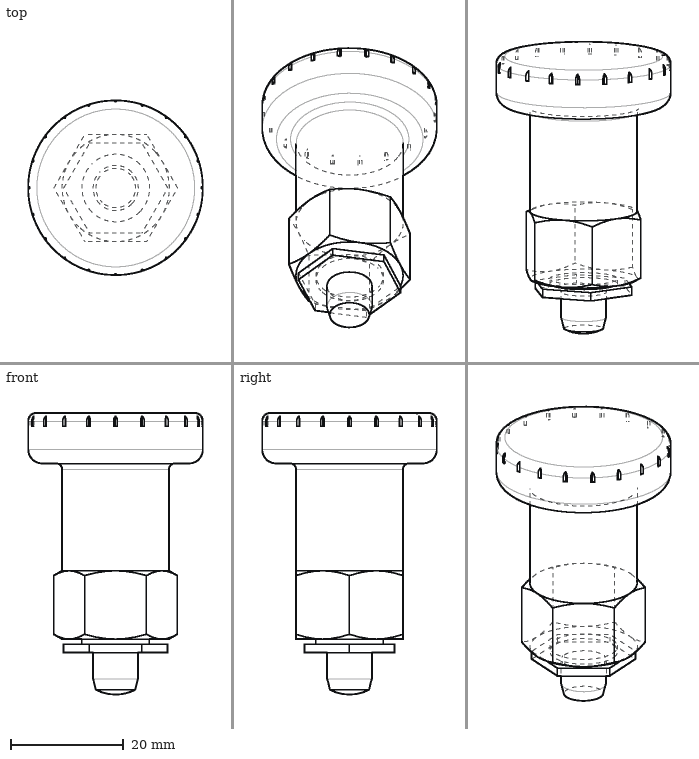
import cadquery as cq
import math


grip_diameter = 31.0
grip_height = 9.0
grip_top_radius = 1.5
grip_bottom_radius = 2.5
neck_diameter = 19.0
neck_length = 19.0
neck_fillet = 1.0

notch_count = 20
notch_length = 2.4
notch_depth = 0.3
notch_half_width = 0.35
notch_overshoot = 1.0

hexagon_across_flats = 19.0
hexagon_height = 12.1
hexagon_chamfer_angle = 30.0
collar_diameter = 12.0
collar_height = 0.9
flange_across_flats = 16.0
flange_thickness = 1.5

pin_diameter = 8.0
pin_length = 7.46
pin_taper_angle = 14.0
pin_taper_length = 2.0
pin_dome_radius = 7.5

neck_bottom = hexagon_height
grip_bottom = neck_bottom + neck_length
grip_top = grip_bottom + grip_height
collar_bottom = -collar_height
flange_bottom = collar_bottom - flange_thickness
pin_bottom = flange_bottom - pin_length


def hexagon_prism(across_flats, bottom, height):
    """Hexagonal prism with two corners on the X axis."""
    across_corners = across_flats / math.cos(math.radians(30))
    return cq.Workplane("XY").workplane(offset=bottom).polygon(6, across_corners).extrude(height)


def revolve_about_z(profile):
    """Turn a closed radius-height profile about the Z axis."""
    return profile.close().revolve(360, (0, 0, 0), (0, 1, 0))


def arc_point(center_radius, center_height, arc_radius, angle):
    """Point on an arc in the radius-height plane, at an angle in degrees."""
    turn = math.radians(angle)
    return (center_radius + arc_radius * math.cos(turn), center_height + arc_radius * math.sin(turn))


def make_notch(angle):
    """Cutter for one V notch that runs down from the top of the grip rim."""
    grip_radius = grip_diameter / 2
    slope = notch_half_width / notch_depth
    outer_radius = grip_radius + notch_overshoot
    outer_half_width = notch_half_width + slope * notch_overshoot
    cutter = (
        cq.Workplane("XY")
        .workplane(offset=grip_top - notch_length)
        .moveTo(grip_radius - notch_depth, 0)
        .lineTo(outer_radius, -outer_half_width)
        .lineTo(outer_radius, outer_half_width)
        .close()
        .extrude(notch_length + notch_overshoot)
    )
    return cutter.rotate((0, 0, 0), (0, 0, 1), angle)


def make_knob():
    grip_radius = grip_diameter / 2
    neck_radius = neck_diameter / 2
    neck_arc_middle = arc_point(
        neck_radius + neck_fillet, grip_bottom - neck_fillet, neck_fillet, 135
    )
    bottom_arc_middle = arc_point(
        grip_radius - grip_bottom_radius, grip_bottom + grip_bottom_radius, grip_bottom_radius, -45
    )
    top_arc_middle = arc_point(
        grip_radius - grip_top_radius, grip_top - grip_top_radius, grip_top_radius, 45
    )
    profile = (
        cq.Workplane("XZ")
        .moveTo(0, neck_bottom)
        .lineTo(neck_radius, neck_bottom)
        .lineTo(neck_radius, grip_bottom - neck_fillet)
        .threePointArc(neck_arc_middle, (neck_radius + neck_fillet, grip_bottom))
        .lineTo(grip_radius - grip_bottom_radius, grip_bottom)
        .threePointArc(bottom_arc_middle, (grip_radius, grip_bottom + grip_bottom_radius))
        .lineTo(grip_radius, grip_top - grip_top_radius)
        .threePointArc(top_arc_middle, (grip_radius - grip_top_radius, grip_top))
        .lineTo(0, grip_top)
    )
    knob = revolve_about_z(profile)
    for index in range(notch_count):
        knob = knob.cut(make_notch(index * 360 / notch_count))
    return knob


def make_body():
    face_radius = hexagon_across_flats / 2
    middle_height = hexagon_height / 2
    cone_radius = face_radius + middle_height / math.tan(math.radians(hexagon_chamfer_angle))
    chamfer_envelope = revolve_about_z(
        cq.Workplane("XZ")
        .moveTo(0, 0)
        .lineTo(face_radius, 0)
        .lineTo(cone_radius, middle_height)
        .lineTo(face_radius, hexagon_height)
        .lineTo(0, hexagon_height)
    )
    large_hexagon = hexagon_prism(hexagon_across_flats, 0, hexagon_height).intersect(chamfer_envelope)
    collar = (
        cq.Workplane("XY")
        .workplane(offset=collar_bottom)
        .circle(collar_diameter / 2)
        .extrude(collar_height)
    )
    flange = hexagon_prism(flange_across_flats, flange_bottom, flange_thickness)
    return large_hexagon.union(collar).union(flange)


def make_pin():
    pin_radius = pin_diameter / 2
    tip_radius = pin_radius - pin_taper_length * math.tan(math.radians(pin_taper_angle))
    dome_center = pin_bottom + pin_dome_radius
    dome_edge = dome_center - math.sqrt(pin_dome_radius**2 - tip_radius**2)
    dome_middle_radius = tip_radius / 2
    dome_middle = dome_center - math.sqrt(pin_dome_radius**2 - dome_middle_radius**2)
    profile = (
        cq.Workplane("XZ")
        .moveTo(0, flange_bottom)
        .lineTo(pin_radius, flange_bottom)
        .lineTo(pin_radius, dome_edge + pin_taper_length)
        .lineTo(tip_radius, dome_edge)
        .threePointArc((dome_middle_radius, dome_middle), (0, pin_bottom))
    )
    return revolve_about_z(profile)


knob = make_knob()
body = make_body()
pin = make_pin()

result = cq.Compound.makeCompound([knob.val(), body.val(), pin.val()])